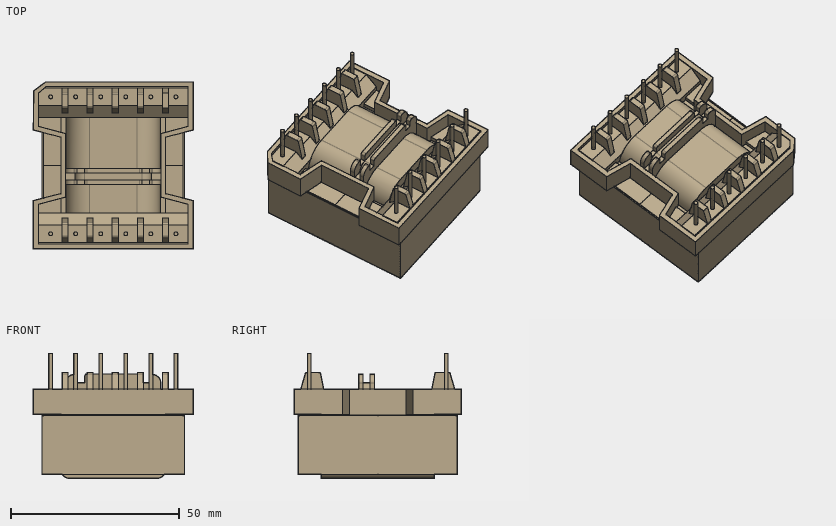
import cadquery as cq


CORE_WIDTH = 41.4
CORE_LENGTH = 46.25
CORE_HEIGHT = 17.6
TAPE_THICKNESS = 0.4
TAPE_HEIGHT = 17.4

BOX_WIDTH = 31.05
BOX_LENGTH = 33.5
BOX_BOTTOM = -1.2
BOX_BOTTOM_RADIUS = 2.55
BOX_FLOOR = 1.2
LEDGE_TOP = 19.0

COIL_WIDTH = 27.9
COIL_LENGTH = 28.18
COIL_TOP = 24.95
COIL_RADIUS = 6.9
PARTITION_WIDTH = 28.18
PARTITION_FRONT = -5.65
PARTITION_BACK = -0.95

TRAY_WIDTH = 47.4
TRAY_LENGTH = 49.45
TRAY_BOTTOM = 17.8
TRAY_FLOOR = 20.25
TRAY_TOP = 25.2
CAVITY_WIDTH = 44.2
CAVITY_LENGTH = 46.55

OUTER_MOUTH_Y = 10.45
OUTER_WAIST = (BOX_WIDTH / 2, 8.35)
INNER_MOUTH_Y = 11.5
INNER_WAIST = (PARTITION_WIDTH / 2, 9.4)

CORNER_CUT_X = 3.7
CORNER_CUT_Y = 2.65
CORNER_SETBACK = 0.15
INNER_CUT_X = 2.2
INNER_CUT_Y = 1.9

SHELF_OUTER_Y = 22.9
SHELF_BEND_Y = 17.7
SHELF_TOP = 24.95
SHELF_LOW = 21.75

RIB_COUNT = 5
RIB_THICKNESS = 1.8
RIB_OFFSET_X = 0.6
RIB_TOP = 30.15
RIB_TOP_INNER_Y = 16.95
RIB_TOP_OUTER_Y = 21.35
RIB_FOOT_INNER_Y = 15.0
RIB_RADIUS = 0.6

PIN_COUNT = 6
PIN_PITCH = 7.4
PIN_ROW_Y = 20.25
PIN_DIAMETER = 1.15
PIN_TOP = 35.85

BAR_HALF_WIDTH = 8.45
BAR_TOP = 29.75
BAR_RADIUS = 0.7
EAR_INNER_X = 10.7
EAR_TOP = 29.55
EAR_OUTER_RADIUS = 2.45
EAR_INNER_RADIUS = 0.65
NOTCH_FLOOR = 27.15
GROOVE_FRONT = -4.3
GROOVE_BACK = -2.3
WEB_HALF_WIDTH = 11.25
GROOVE_FLOOR = 24.7
WEB_RADIUS = 2.75


def block(x_size, y_min, y_max, z_min, z_max):
    """Box centred on X between the given Y and Z limits."""
    box = cq.Workplane("XY").box(x_size, y_max - y_min, z_max - z_min, centered=(True, False, False))
    return box.translate((0, y_min, z_min))


def waisted_outline(width, length, mouth_y, waist, cut_x, cut_y, setback):
    """Rectangle with a tapered recess in each side and its (-X, +Y) corner cut off."""
    x, y = width / 2, length / 2
    waist_x, waist_y = waist
    return [
        (-x, -y), (x, -y),
        (x, -mouth_y), (waist_x, -waist_y), (waist_x, waist_y), (x, mouth_y),
        (x, y), (cut_x - x, y), (setback - x, y - cut_y),
        (-x, mouth_y), (-waist_x, waist_y), (-waist_x, -waist_y), (-x, -mouth_y),
    ]


def prism(outline, z_min, z_max):
    """Upright prism on a closed outline."""
    return cq.Workplane("XY").workplane(offset=z_min).polyline(outline).close().extrude(z_max - z_min)


def cavity_prism(z_min):
    """Space inside the rim, from the given height up."""
    outline = waisted_outline(
        CAVITY_WIDTH, CAVITY_LENGTH, INNER_MOUTH_Y, INNER_WAIST, INNER_CUT_X, INNER_CUT_Y, 0
    )
    return prism(outline, z_min, TRAY_TOP)


def make_tray():
    """Plate on top of the core with a raised rim and a ledge along the windings."""
    outline = waisted_outline(
        TRAY_WIDTH, TRAY_LENGTH, OUTER_MOUTH_Y, OUTER_WAIST, CORNER_CUT_X, CORNER_CUT_Y, CORNER_SETBACK
    )
    ledge_space = block(BOX_WIDTH, -COIL_LENGTH / 2, COIL_LENGTH / 2, LEDGE_TOP, TRAY_TOP)
    return (
        prism(outline, TRAY_BOTTOM, TRAY_TOP)
        .cut(cavity_prism(TRAY_FLOOR))
        .cut(ledge_space.intersect(cavity_prism(LEDGE_TOP)))
    )


def make_coil_box():
    """Closed-bottom box in the core window, its long lower edges rounded."""
    box = block(BOX_WIDTH, -BOX_LENGTH / 2, BOX_LENGTH / 2, BOX_BOTTOM, TRAY_BOTTOM)
    return box.edges("<Z and |Y").fillet(BOX_BOTTOM_RADIUS)


def make_coil_space():
    """Space for the windings, open at the top."""
    return block(COIL_WIDTH, -COIL_LENGTH / 2, COIL_LENGTH / 2, BOX_FLOOR, TRAY_TOP)


def make_back_shelf():
    """Terminal shelf on the +Y side that slopes down towards the winding."""
    profile = [
        (COIL_LENGTH / 2, TRAY_BOTTOM), (SHELF_OUTER_Y, TRAY_BOTTOM), (SHELF_OUTER_Y, SHELF_TOP),
        (SHELF_BEND_Y, SHELF_TOP), (COIL_LENGTH / 2, SHELF_LOW),
    ]
    return cq.Workplane("YZ").polyline(profile).close().extrude(TRAY_WIDTH / 2, both=True)


def make_shelves():
    """Both terminal shelves, shaped at their ends by the rim."""
    back = make_back_shelf()
    return back.union(back.mirror("XZ")).intersect(cavity_prism(TRAY_FLOOR))


def make_back_rib(x, rounded):
    """Tapered wire guide on the +Y shelf."""
    profile = [
        (RIB_FOOT_INNER_Y, TRAY_FLOOR), (SHELF_OUTER_Y, TRAY_FLOOR), (SHELF_OUTER_Y, SHELF_TOP),
        (RIB_TOP_OUTER_Y, RIB_TOP), (RIB_TOP_INNER_Y, RIB_TOP),
    ]
    rib = cq.Workplane("YZ").polyline(profile).close().extrude(RIB_THICKNESS / 2, both=True)
    if rounded:
        rib = rib.edges(">Z and |X").fillet(RIB_RADIUS)
    return rib.translate((x, 0, 0))


def make_left_ear():
    """Ear at the -X end of the partition, with a small radius inside and a large one outside."""
    outer_x = -PARTITION_WIDTH / 2
    inner_x = -EAR_INNER_X
    return (
        cq.Workplane("XZ", origin=(0, PARTITION_BACK, 0))
        .moveTo(outer_x, TRAY_TOP)
        .lineTo(outer_x, EAR_TOP - EAR_OUTER_RADIUS)
        .radiusArc((outer_x + EAR_OUTER_RADIUS, EAR_TOP), EAR_OUTER_RADIUS)
        .lineTo(inner_x - EAR_INNER_RADIUS, EAR_TOP)
        .radiusArc((inner_x, EAR_TOP - EAR_INNER_RADIUS), EAR_INNER_RADIUS)
        .lineTo(inner_x, TRAY_TOP)
        .close()
        .extrude(PARTITION_BACK - PARTITION_FRONT)
    )


def make_groove():
    """Groove along the crest of the partition, which leaves a web with rounded ends in its middle."""
    groove = block(PARTITION_WIDTH, GROOVE_FRONT, GROOVE_BACK, GROOVE_FLOOR, BAR_TOP)
    web = block(2 * WEB_HALF_WIDTH, GROOVE_FRONT, GROOVE_BACK, TRAY_FLOOR, NOTCH_FLOOR)
    return groove.cut(web.edges(">Z and |Y").fillet(WEB_RADIUS))


def make_partition():
    """Wall between the windings, with a bar and two ears along its crest."""
    wall = block(PARTITION_WIDTH, PARTITION_FRONT, PARTITION_BACK, BOX_FLOOR, TRAY_TOP)
    crest = block(2 * EAR_INNER_X, PARTITION_FRONT, PARTITION_BACK, TRAY_TOP, NOTCH_FLOOR)
    bar = block(2 * BAR_HALF_WIDTH, PARTITION_FRONT, PARTITION_BACK, NOTCH_FLOOR, BAR_TOP)
    bar = bar.edges(">Z and |Y").fillet(BAR_RADIUS)
    ear = make_left_ear()
    return wall.union(crest).union(bar).union(ear).union(ear.mirror("YZ")).cut(make_groove())


def make_pins():
    """Both rows of terminal pins, moulded into the shelves."""
    return (
        cq.Workplane("XY", origin=(0, 0, TRAY_FLOOR))
        .rarray(PIN_PITCH, 2 * PIN_ROW_Y, PIN_COUNT, 2)
        .circle(PIN_DIAMETER / 2)
        .extrude(PIN_TOP - TRAY_FLOOR)
    )


def make_bobbin():
    """Whole bobbin; the rib at the +X end of the +Y shelf has sharp edges."""
    bobbin = make_tray().union(make_coil_box()).cut(make_coil_space())
    bobbin = bobbin.union(make_shelves()).union(make_partition())
    for i in range(RIB_COUNT):
        x = RIB_OFFSET_X + (i - (RIB_COUNT - 1) / 2) * PIN_PITCH
        is_last = i == RIB_COUNT - 1
        bobbin = bobbin.union(make_back_rib(x, rounded=not is_last))
        bobbin = bobbin.union(make_back_rib(x, rounded=True).mirror("XZ"))
    return bobbin.union(make_pins())


def make_winding(y_min, y_max):
    """Winding between two Y limits, rounded along its length."""
    return block(COIL_WIDTH, y_min, y_max, BOX_FLOOR, COIL_TOP).edges("|Y").fillet(COIL_RADIUS)


def make_core_half(y_min, y_max):
    """One half of the core ring around the coil box."""
    window = block(BOX_WIDTH, -BOX_LENGTH / 2, BOX_LENGTH / 2, 0, CORE_HEIGHT)
    return block(CORE_WIDTH, y_min, y_max, 0, CORE_HEIGHT).cut(window)


def make_tape():
    """Thin band around the sides of both core halves."""
    band = cq.Workplane("XY").rect(CORE_WIDTH + 2 * TAPE_THICKNESS, CORE_LENGTH + 2 * TAPE_THICKNESS)
    return band.rect(CORE_WIDTH, CORE_LENGTH).extrude(TAPE_HEIGHT)


bobbin = make_bobbin()
windings = [
    make_winding(-COIL_LENGTH / 2, PARTITION_FRONT),
    make_winding(PARTITION_BACK, COIL_LENGTH / 2),
]
core_halves = [
    make_core_half(-CORE_LENGTH / 2, 0),
    make_core_half(0, CORE_LENGTH / 2),
]
tape = make_tape()

result = cq.Compound.makeCompound([
    bobbin.val(),
    *[winding.val() for winding in windings],
    *[half.val() for half in core_halves],
    tape.val(),
])